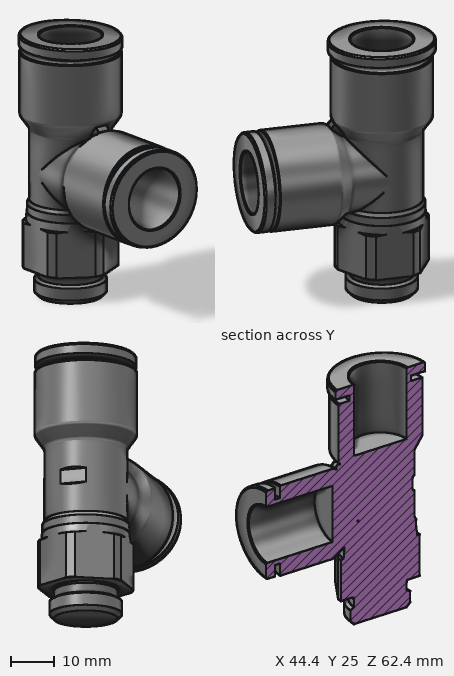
import cadquery as cq
import math


overall_height = 62.35
port_reach = 31.85
junction_z = overall_height - port_reach

sleeve_length = 25.0
sleeve_width = 23.1
sleeve_thickness = 2.55
sleeve_chamfer = (0.45, 0.4)
neck_radius = 8.6
socket_depth = 3.8
socket_radius = 11.8
socket_chamfer = 0.25
taper_start_depth = 18.9
taper_end_depth = 22.1
taper_fillet = 1.2
pipe_radius = 9.55
bore_radius = 7.25
bore_depth = 18.5
bore_chamfer = 0.25

web_thickness = 3.05
web_short = 11.65
web_long = 12.65

recess_width = 6.25
recess_center_z = 31.7
recess_floor_height = 3.25
recess_mouth_height = 4.05

nut_bottom = 7.05
nut_shoulder_edge = 17.85
nut_shoulder_rise = 0.2
nut_top = 20.1
nut_across_flats = 20.15
nut_corner_radius = 11.05
nut_corner_chamfer = 0.1
nut_crown_top_radius = 10.1
nut_crown_base_radius = 10.3

ring_radius = 10.05
ring_straight_top = 22.1
ring_top = 23.1

spigot_radius = 8.35
spigot_chamfer = 1.05
spigot_straight_top = 3.9
groove_bottom = 4.5
groove_radius = 7.35
groove_top = 6.55
groove_flare = 0.2


def revolve_about_z(points):
    """Revolve a closed outline of (radius, z) points about the Z axis."""
    return cq.Workplane("XZ").polyline(points).close().revolve(360, (0, 0), (0, 1))


def port_body():
    """Pipe, socket and release sleeve along +Z from the junction, with the sleeve's long axis along X."""
    socket_face = port_reach - socket_depth
    taper_start = port_reach - taper_start_depth
    taper_end = port_reach - taper_end_depth
    socket = revolve_about_z([
        (0, 0),
        (pipe_radius, 0),
        (pipe_radius, taper_end),
        (socket_radius, taper_start),
        (socket_radius, socket_face),
        (0, socket_face),
    ])
    socket = socket.faces(">Z").edges().chamfer(socket_chamfer)
    for taper_corner in (taper_start, taper_end):
        corner_edge = cq.selectors.NearestToPointSelector((0, 0, taper_corner))
        socket = socket.edges(corner_edge).fillet(taper_fillet)

    neck = cq.Workplane("XY").workplane(offset=socket_face).circle(neck_radius).extrude(socket_depth)
    sleeve = (
        cq.Workplane("XY")
        .workplane(offset=port_reach - sleeve_thickness)
        .ellipse(sleeve_length / 2, sleeve_width / 2)
        .extrude(sleeve_thickness)
        .faces(">Z")
        .edges()
        .chamfer(*sleeve_chamfer)
    )
    return socket.union(neck).union(sleeve)


def port_bore():
    """Blind bore of a port along +Z, widened by a chamfer at the mouth."""
    bore_floor = port_reach - bore_depth
    mouth_radius = bore_radius + bore_chamfer
    return revolve_about_z([
        (0, bore_floor),
        (bore_radius, bore_floor),
        (bore_radius, port_reach - bore_chamfer),
        (mouth_radius, port_reach),
        (0, port_reach),
    ])


def place_on_stem(shape):
    return shape.translate((0, 0, junction_z))


def place_on_arm(shape):
    """Turn a Z-facing port to face +X, with its long axis along Y."""
    turned = shape.rotate((0, 0, 0), (0, 0, 1), 90).rotate((0, 0, 0), (0, 1, 0), 90)
    return turned.translate((0, 0, junction_z))


def corner_web():
    """Flat web that bridges the two sockets on the inside of the corner."""
    web = (
        cq.Workplane("XZ")
        .polyline([(0, 0), (web_short, web_long), (web_long, web_short)])
        .close()
        .extrude(web_thickness / 2, both=True)
    )
    return place_on_stem(web)


def stem_recess():
    """Cutter whose floor runs out into the stem surface at both sides."""
    floor_offset = math.sqrt(pipe_radius**2 - (recess_width / 2) ** 2)
    half_floor = recess_floor_height / 2
    half_mouth = recess_mouth_height / 2
    return (
        cq.Workplane("XZ")
        .polyline([
            (-floor_offset, recess_center_z - half_floor),
            (-floor_offset, recess_center_z + half_floor),
            (-pipe_radius, recess_center_z + half_mouth),
            (-pipe_radius, recess_center_z - half_mouth),
        ])
        .close()
        .extrude(recess_width / 2, both=True)
    )


def nut():
    """Hexagon with flats facing +Y and -Y, turned round at the corners and to a crown on top."""
    hexagon = (
        cq.Workplane("XY")
        .workplane(offset=nut_bottom)
        .polygon(6, nut_across_flats, circumscribed=True)
        .extrude(nut_top - nut_bottom)
        .rotate((0, 0, 0), (0, 0, 1), 30)
    )
    turned_envelope = revolve_about_z([
        (0, nut_bottom),
        (nut_corner_radius - nut_corner_chamfer, nut_bottom),
        (nut_corner_radius, nut_bottom + nut_corner_chamfer),
        (nut_corner_radius, nut_shoulder_edge),
        (nut_crown_base_radius, nut_shoulder_edge + nut_shoulder_rise),
        (nut_crown_top_radius, nut_top),
        (0, nut_top),
    ])
    return hexagon.intersect(turned_envelope)


def spigot_and_ring():
    """Round core from the spigot end up to the plain pipe, including the ring above the nut."""
    return revolve_about_z([
        (0, 0),
        (spigot_radius - spigot_chamfer, 0),
        (spigot_radius, spigot_chamfer),
        (spigot_radius, spigot_straight_top),
        (groove_radius, groove_bottom),
        (groove_radius, groove_top),
        (groove_radius + groove_flare, nut_bottom),
        (groove_radius + groove_flare, nut_top),
        (ring_radius, nut_top),
        (ring_radius, ring_straight_top),
        (pipe_radius, ring_top),
        (pipe_radius, junction_z),
        (0, junction_z),
    ])


body = spigot_and_ring().union(nut())
body = body.union(place_on_stem(port_body()))
body = body.union(place_on_arm(port_body()))
body = body.union(corner_web())
body = body.cut(stem_recess())
body = body.cut(place_on_stem(port_bore()))
result = body.cut(place_on_arm(port_bore()))